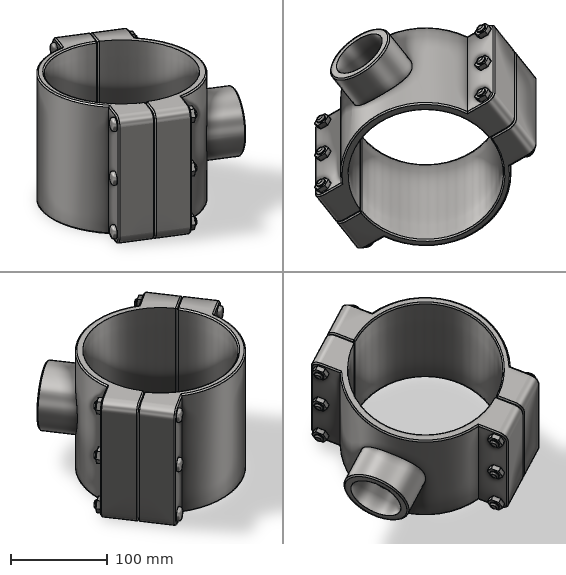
import cadquery as cq
import math


overall_width = 223.0
height = 145.0
bore_radius = 80.0
wall = 7.8
lug_thickness = 39.7
lug_corner_radius = 11.0
edge_chamfer = 1.5

spigot_diameter = 73.5
spigot_reach = 122.9
port_diameter = 50.0
socket_diameter = 56.6
socket_floor = 92.5

bolt_offset_x = 99.5
bolt_pitch = 60.7
head_diameter = 15.0
head_height = 4.2
head_round = 3.0
nut_across_flats = 15.0
nut_height = 5.4
bolt_diameter = 10.0
bolt_tip_length = 3.1
bolt_tip_chamfer = 1.8

outer_radius = bore_radius + wall
half_height = height / 2
lug_root_x = math.sqrt(outer_radius**2 - lug_thickness**2)
nut_across_corners = nut_across_flats / math.cos(math.pi / 6)

tolerance = 0.02


def same(a, b):
    return abs(a - b) < tolerance


def rod_along_y(diameter, start, end):
    """Round rod on the Y axis between two Y positions."""
    return cq.Workplane("XZ", origin=(0, start, 0)).circle(diameter / 2).extrude(start - end)


def ring_cylinder(radius):
    """Cylinder on the Z axis over the full height of the clamp."""
    return cq.Workplane("XY", origin=(0, 0, -half_height)).circle(radius).extrude(height)


def is_chamfered(edge, chamfer_bore_rim):
    """Pick the rims of the split faces, of the outer lug faces and of the ring."""
    middle = edge.positionAt(0.5)
    radius = math.hypot(middle.x, middle.y)
    if same(radius, bore_radius):
        return chamfer_bore_rim or same(middle.y, 0)
    if same(radius, outer_radius):
        return same(abs(middle.z), half_height)
    constant_y = same(edge.startPoint().y, edge.endPoint().y)
    return constant_y and abs(middle.x) > lug_root_x


def clamp_half(side, chamfer_bore_rim):
    """Half ring with its two lugs; side is +1 for the +Y half and -1 for the -Y half."""
    lugs = (
        cq.Workplane("XY")
        .box(overall_width, lug_thickness, height)
        .edges("|Y")
        .fillet(lug_corner_radius)
        .translate((0, side * lug_thickness / 2, 0))
    )
    half_space = (
        cq.Workplane("XY")
        .box(overall_width, overall_width, height)
        .translate((0, side * overall_width / 2, 0))
    )
    half_ring = ring_cylinder(outer_radius).intersect(half_space)
    body = half_ring.union(lugs).cut(ring_cylinder(bore_radius))
    edges = [edge for edge in body.edges().vals() if is_chamfered(edge, chamfer_bore_rim)]
    return body.newObject(edges).chamfer(edge_chamfer)


def add_branch(half):
    """Add the spigot, with a port into the bore and a wider socket from its free end."""
    spigot = rod_along_y(spigot_diameter, 0, spigot_reach).faces(">Y").chamfer(edge_chamfer)
    spigot = spigot.cut(ring_cylinder(bore_radius + wall / 2))
    port = rod_along_y(port_diameter, 0, spigot_reach)
    socket = rod_along_y(socket_diameter, socket_floor, spigot_reach)
    return half.union(spigot).cut(port).cut(socket)


def bolt_head():
    """Button head on the outer face of the -Y lug."""
    head = rod_along_y(head_diameter, -lug_thickness, -lug_thickness - head_height)
    return head.faces("<Y").edges().fillet(head_round)


def nut_and_tip():
    """Hexagon nut on the outer face of the +Y lug, with the bolt tip standing out of it."""
    nut_top = lug_thickness + nut_height
    nut = (
        cq.Workplane("XZ", origin=(0, lug_thickness, 0))
        .polygon(6, nut_across_corners)
        .extrude(-nut_height)
    )
    tip = rod_along_y(bolt_diameter, nut_top, nut_top + bolt_tip_length)
    return nut.union(tip.faces(">Y").chamfer(bolt_tip_chamfer))


lower_half = clamp_half(-1, chamfer_bore_rim=True)
upper_half = add_branch(clamp_half(1, chamfer_bore_rim=False))
result = lower_half.union(upper_half)

for x in (-bolt_offset_x, bolt_offset_x):
    for z in (-bolt_pitch, 0, bolt_pitch):
        for fastener in (bolt_head(), nut_and_tip()):
            result = result.union(fastener.translate((x, 0, z)))